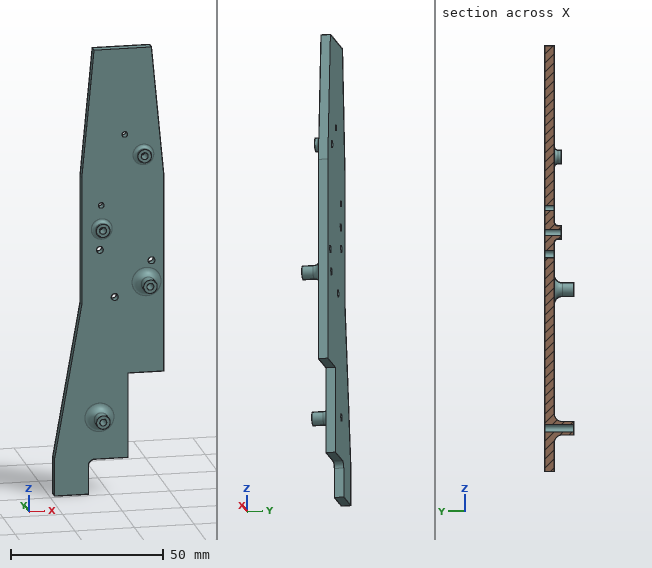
import cadquery as cq

plate_height = 151.8
plate_width = 36.5
total_depth = 9.5
plate_thickness = 3.2

body_left = 9.1
top_inset = 4.1
taper_start_z = 108.3
slant_bottom_z = 12.9
slant_top_z = 65.0

tab_width = 11.4
tab_top_z = 11.8
tab_corner_radius = 2.0
step_x = 24.6
step_z = 40.7

boss_diameter = 4.5
boss_bore_diameter = 2.3
tall_boss_height = total_depth - plate_thickness
tall_flare_radius = 2.6
short_boss_height = 2.3
short_flare_radius = 1.2
tall_boss_centers = [(30.8, 71.6), (15.0, 26.1)]
short_boss_centers = [(29.7, 115.2), (15.8, 90.5)]

small_hole_diameter = 1.8
small_hole_centers = [(23.5, 122.3), (15.6, 98.5)]
large_hole_diameter = 2.3
large_hole_centers = [(15.2, 83.3), (32.5, 78.8), (20.2, 66.9)]


def make_plate():
    """Stepped, tapered plate with a rounded inner corner above the bottom tab."""
    outline = [
        (0, 0),
        (tab_width, 0),
        (tab_width, tab_top_z),
        (step_x, tab_top_z),
        (step_x, step_z),
        (plate_width, step_z),
        (plate_width, taper_start_z),
        (plate_width - top_inset, plate_height),
        (body_left + top_inset, plate_height),
        (body_left, taper_start_z),
        (body_left, slant_top_z),
        (0, slant_bottom_z),
    ]
    plate = cq.Workplane("XZ").polyline(outline).close().extrude(plate_thickness)
    tab_corner = cq.selectors.NearestToPointSelector((tab_width, -plate_thickness / 2, tab_top_z))
    return plate.edges(tab_corner).fillet(tab_corner_radius)


def make_boss(center, height, flare_radius):
    """Post revolved about its own axis, flaring tangentially into the plate."""
    x, z = center
    post_radius = boss_diameter / 2
    foot_radius = post_radius + flare_radius
    arc_offset = flare_radius * (1 - 0.5 ** 0.5)
    profile = (
        cq.Workplane("XY")
        .lineTo(foot_radius, 0)
        .threePointArc((post_radius + arc_offset, -arc_offset), (post_radius, -flare_radius))
        .lineTo(post_radius, -height)
        .lineTo(0, -height)
        .close()
    )
    boss = profile.revolve(360, (0, 0, 0), (0, 1, 0))
    return boss.translate((x, -plate_thickness, z))


def make_drills(centers, diameter):
    """Cylinders long enough to pass through the plate and any boss."""
    return cq.Workplane("XZ").pushPoints(centers).circle(diameter / 2).extrude(total_depth)


result = make_plate()

for boss_center in tall_boss_centers:
    result = result.union(make_boss(boss_center, tall_boss_height, tall_flare_radius))
for boss_center in short_boss_centers:
    result = result.union(make_boss(boss_center, short_boss_height, short_flare_radius))

result = result.cut(make_drills(tall_boss_centers + short_boss_centers, boss_bore_diameter))
result = result.cut(make_drills(small_hole_centers, small_hole_diameter))
result = result.cut(make_drills(large_hole_centers, large_hole_diameter))